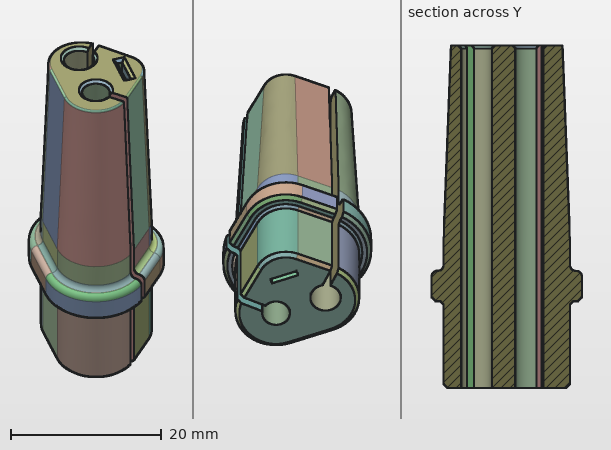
import cadquery as cq
import math

corner_x = 3.0
back_y = 4.35
body_radius = 5.4
back_radius_drop = 1.2
collar_offset = 1.6
top_inset = 1.0

height = 45.5
collar_bottom = 11.5
collar_top = 15.6
taper_start = 19.5

base_chamfer = 0.55
tip_fillet = 0.27
collar_top_fillet = 0.8
collar_top_foot_fillet = 0.75
collar_bottom_chamfer = 0.55
collar_bottom_foot_chamfer = 0.4

left_hole_x = -4.0
left_hole_diameter = 4.05
right_hole_x = 3.0
right_hole_diameter = 3.7
mouth_chamfer = 0.4
slot_width = 0.95
slot_angle = 45
slot_length = 13.65
window_width = 3.7
window_depth = 0.7
window_y = 4.95
window_chamfer = 0.45


def outline(z, offset):
    """Closed outline at height z, grown outward from the body by offset."""
    front_radius = body_radius + offset
    back_radius = front_radius - back_radius_drop
    tilt = math.acos(back_radius_drop / math.hypot(corner_x, back_y))
    normal = math.atan2(back_y, -corner_x) - tilt
    nx = math.cos(normal)
    ny = math.sin(normal)
    middle = (normal - math.pi / 2) / 2
    corner_mid = (corner_x + front_radius * math.cos(middle), front_radius * math.sin(middle))
    corner_end = (corner_x + front_radius * nx, front_radius * ny)
    back_start = (back_radius * nx, back_y + back_radius * ny)

    def mirrored(point):
        return (-point[0], point[1])

    return (
        cq.Workplane("XY", origin=(0, 0, z))
        .moveTo(-corner_x, -front_radius)
        .lineTo(corner_x, -front_radius)
        .threePointArc(corner_mid, corner_end)
        .lineTo(*back_start)
        .threePointArc((0, back_y + back_radius), mirrored(back_start))
        .lineTo(*mirrored(corner_end))
        .threePointArc(mirrored(corner_mid), (-corner_x, -front_radius))
        .close()
    )


def prism(bottom, top, offset):
    return outline(bottom, offset).extrude(top - bottom)


def collar_foot(solid, z):
    """Inner edge loop where the body meets the flat collar face at height z."""
    face = [f for f in solid.faces("|Z").vals() if math.isclose(f.Center().z, z)][0]
    return solid.newObject(face.innerWires()[0].Edges())


def make_body():
    base = prism(0, taper_start, 0).faces("<Z").chamfer(base_chamfer)
    bottom_wire = outline(taper_start, 0).wires().val()
    top_wire = outline(height, -top_inset).wires().val()
    taper = cq.Workplane(cq.Solid.makeLoft([bottom_wire, top_wire], True))
    taper = taper.faces(">Z").edges().fillet(tip_fillet)
    collar = prism(collar_bottom, collar_top, collar_offset)
    collar = collar.faces(">Z").edges().fillet(collar_top_fillet)
    collar = collar.faces("<Z").edges().chamfer(collar_bottom_chamfer)
    body = base.union(collar)
    body = collar_foot(body, collar_top).fillet(collar_top_foot_fillet)
    body = collar_foot(body, collar_bottom).chamfer(collar_bottom_foot_chamfer)
    return body.union(taper)


def cable_hole(x, diameter):
    """Through hole with a chamfered mouth at the top."""
    radius = diameter / 2
    bore = cq.Workplane("XY").center(x, 0).circle(radius).extrude(height)
    mouth = cq.Workplane("XY", origin=(x, 0, height)).circle(radius + mouth_chamfer)
    mouth = mouth.workplane(offset=-mouth_chamfer).circle(radius).loft(ruled=True)
    return bore.union(mouth)


def side_slot(side):
    """Full-height slot running diagonally outward from a front corner center."""
    slot = cq.Workplane("XY").box(slot_length, slot_width, height, centered=(False, True, False))
    direction = slot_angle if side > 0 else 180 - slot_angle
    return slot.rotate((0, 0, 0), (0, 0, 1), direction).translate((side * corner_x, 0, 0))


def strap_window():
    """Rectangular through window with a chamfered mouth at the top."""
    opening = cq.Workplane("XY").center(0, window_y).rect(window_width, window_depth).extrude(height)
    mouth = (
        cq.Workplane("XY", origin=(0, window_y, height))
        .rect(window_width + 2 * window_chamfer, window_depth + 2 * window_chamfer)
        .workplane(offset=-window_chamfer)
        .rect(window_width, window_depth)
        .loft(ruled=True)
    )
    return opening.union(mouth)


result = make_body()
result = result.cut(cable_hole(left_hole_x, left_hole_diameter))
result = result.cut(cable_hole(right_hole_x, right_hole_diameter))
for side in (-1, 1):
    result = result.cut(side_slot(side))
result = result.cut(strap_window())